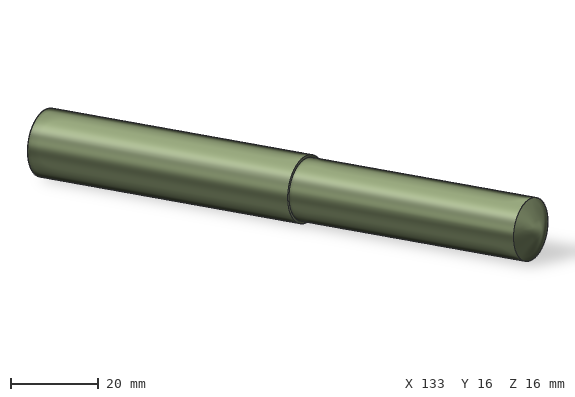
import cadquery as cq
import math

total_length = 133.0
shank_length = 70.0
shank_diameter = 16.0
body_diameter = 14.8
point_angle = 140.0

shank_radius = shank_diameter / 2
body_radius = body_diameter / 2
point_length = body_radius / math.tan(math.radians(point_angle / 2))
body_end = total_length - point_length

half_profile = (
    cq.Workplane("XY")
    .moveTo(0, 0)
    .lineTo(0, shank_radius)
    .lineTo(shank_length, shank_radius)
    .lineTo(shank_length, body_radius)
    .lineTo(body_end, body_radius)
    .lineTo(total_length, 0)
    .close()
)

result = half_profile.revolve(360, (0, 0, 0), (1, 0, 0))